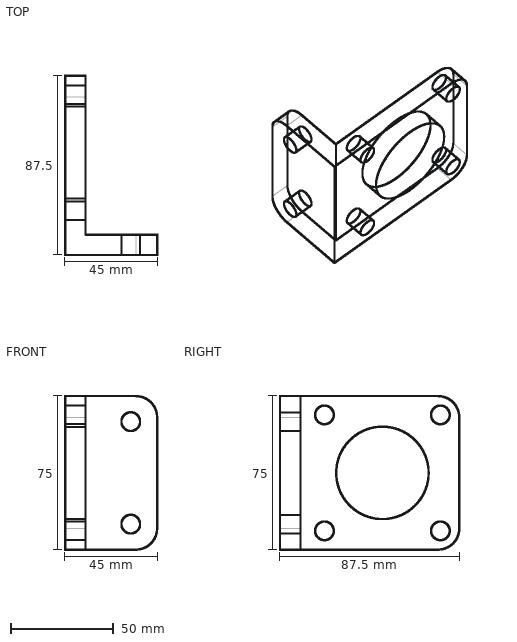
import cadquery as cq

depth = 87.5
height = 75.0
foot_length = 45.0
thickness = 10.0
corner_radius = 10.5

bolt_diameter = 9.0
bore_diameter = 45.0
bore_from_corner = 50.0
plate_hole_spacing = 56.5
flange_hole_from_corner = 32.0
flange_hole_spacing = 50.0

mid_height = height / 2


def plate():
    """Large plate normal to X, with its two free corners rounded."""
    body = cq.Workplane("XY").box(thickness, depth, height, centered=False)
    return body.edges("|X and >Y").fillet(corner_radius)


def flange():
    """Small flange normal to Y, with its two free corners rounded."""
    body = cq.Workplane("XY").box(foot_length, thickness, height, centered=False)
    return body.edges("|Y and >X").fillet(corner_radius)


def plate_cutters():
    """Central bore and the square pattern of four bolt holes around it."""
    axis_plane = cq.Workplane("YZ").center(bore_from_corner, mid_height)
    bore = axis_plane.circle(bore_diameter / 2).extrude(thickness)
    bolts = (
        axis_plane.rect(plate_hole_spacing, plate_hole_spacing, forConstruction=True)
        .vertices()
        .circle(bolt_diameter / 2)
        .extrude(thickness)
    )
    return bore.union(bolts)


def flange_cutters():
    """Two bolt holes, one above the other, through the flange."""
    return (
        cq.Workplane("XZ")
        .center(flange_hole_from_corner, mid_height)
        .rarray(0.9, flange_hole_spacing, 1, 2)
        .circle(bolt_diameter / 2)
        .extrude(-thickness)
    )


result = plate().union(flange()).cut(plate_cutters()).cut(flange_cutters())